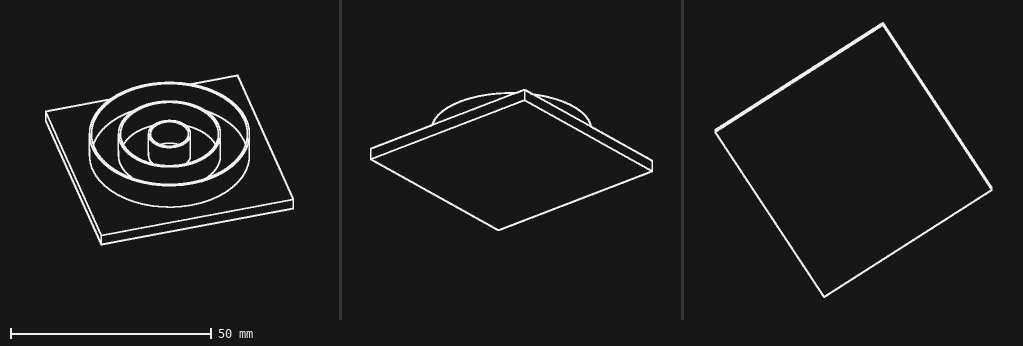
import cadquery as cq

plate_side = 50.0
plate_thickness = 3.0

total_height = 10.0
ring_height = total_height - plate_thickness
ring_wall = 0.5
ring_inner_diameters = (9.5, 24.5, 39.0)


def make_plate():
    """Plate centred on the Z axis with its underside at Z = 0."""
    return cq.Workplane("XY").box(
        plate_side, plate_side, plate_thickness, centered=(True, True, False)
    )


def make_ring(inner_diameter):
    """Upright ring that starts on the top face of the plate."""
    outer_diameter = inner_diameter + 2 * ring_wall
    return (
        cq.Workplane("XY")
        .workplane(offset=plate_thickness)
        .circle(outer_diameter / 2)
        .circle(inner_diameter / 2)
        .extrude(ring_height)
    )


result = make_plate()
for diameter in ring_inner_diameters:
    result = result.union(make_ring(diameter))